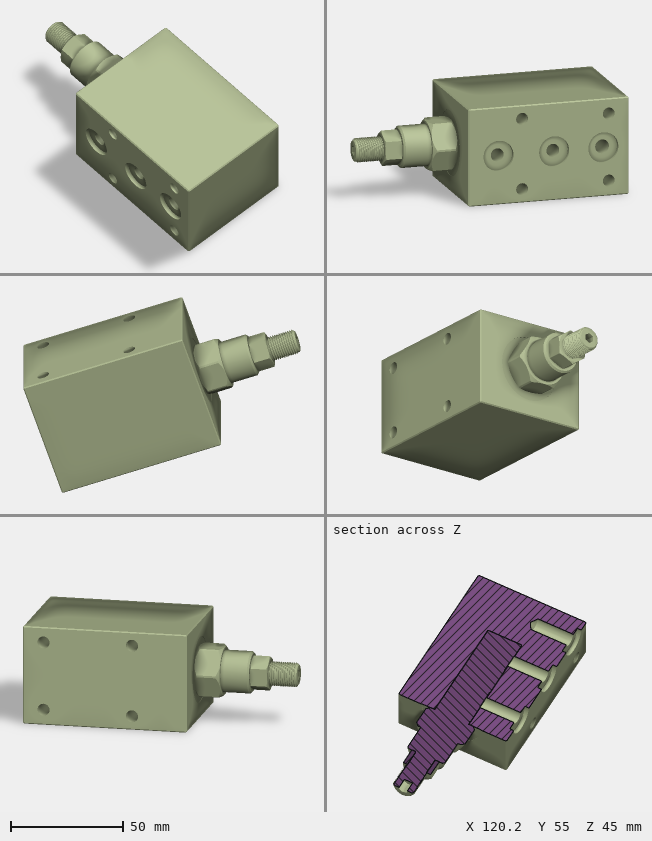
import cadquery as cq
import math


block_length = 75.0
block_height = 45.0
block_front = -28.0
block_back = 27.0
block_chamfer = 0.5
block_depth = block_back - block_front

spot_diameter = 30.0
spot_depth = 0.2

cavity_port_xs = [14.0, 40.0]
cavity_port_diameter = 6.0
drilled_port_x = 63.0
drilled_port_diameter = 6.4
drilled_port_depth = 20.0
drill_point_angle = 118.0
recess_diameter = 14.0
recess_depth = 2.0

mount_diameter = 5.5
mount_pairs = [(25.0, 16.25), (65.5, 15.5)]

nose_diameter = 17.0
nose_length = 50.0
hex_flats = 22.0
hex_corner_diameter = 24.9
hex_outer_chamfer = 1.5
hex_inner_chamfer = 1.3
hex_outer_x = -11.4
collar_diameter = 19.0
collar_chamfer = 0.8
collar_outer_x = -24.3
stem_end_x = -45.2
stem_core_diameter = 10.0
stem_chamfer = 0.5
thread_diameter = 11.0
thread_pitch = 1.0
thread_crest_width = 0.125
thread_root_width = 0.8
thread_lead_in = 0.8
thread_start_x = stem_end_x + thread_lead_in
thread_overlap = 0.1
socket_flats = 4.0
socket_depth = 5.0

nut_flats = 14.0
nut_length = 8.0
nut_turn = 4.0
nut_outer_x = collar_outer_x - nut_length
nut_corner_diameter = nut_flats / math.cos(math.pi / 6)
nut_chamfer_length = 0.4


def x_cylinder(diameter, x_start, x_end):
    """Cylinder along the X axis between two stations."""
    return cq.Workplane("YZ", origin=(x_start, 0, 0)).circle(diameter / 2).extrude(x_end - x_start)


def x_hexagon(flats, x_start, x_end):
    """Hexagonal bar along the X axis, with corners toward +Y and -Y."""
    corner_circle = flats / math.cos(math.pi / 6)
    return cq.Workplane("YZ", origin=(x_start, 0, 0)).polygon(6, corner_circle).extrude(x_end - x_start)


def y_hole(x, z, diameter, depth):
    """Cylinder going into the block from the front face."""
    front_plane = cq.Workplane("XZ", origin=(x, block_front, z))
    return front_plane.circle(diameter / 2).extrude(-depth)


def drill(x, diameter, depth):
    """Hole with a conical drill point, going in from the front face."""
    radius = diameter / 2
    point_length = radius / math.tan(math.radians(drill_point_angle / 2))
    half_section = [
        (x, block_front),
        (x + radius, block_front),
        (x + radius, block_front + depth),
        (x, block_front + depth + point_length),
    ]
    return cq.Workplane("XY").polyline(half_section).close().revolve(360, (x, 0, 0), (x, 1, 0))


def make_block():
    block = (
        cq.Workplane("XY")
        .box(block_length, block_depth, block_height, centered=(False, False, True))
        .translate((0, block_front, 0))
        .edges()
        .chamfer(block_chamfer)
    )
    for x in cavity_port_xs:
        block = block.cut(y_hole(x, 0, cavity_port_diameter, -block_front))
    block = block.cut(drill(drilled_port_x, drilled_port_diameter, drilled_port_depth))
    for x in cavity_port_xs + [drilled_port_x]:
        block = block.cut(y_hole(x, 0, recess_diameter, recess_depth))
    for x, height in mount_pairs:
        for z in (height, -height):
            block = block.cut(y_hole(x, z, mount_diameter, block_depth))
    block = block.cut(x_cylinder(spot_diameter, 0, spot_depth))
    return block.cut(x_cylinder(nose_diameter, 0, nose_length))


def make_thread_ridge():
    """Right-handed helical ridge around the stem, trimmed at the nut face."""
    root_radius = stem_core_diameter / 2 - thread_overlap
    length = nut_outer_x + thread_pitch - thread_start_x
    helix = cq.Wire.makeHelix(thread_pitch, length, root_radius)
    ridge = (
        cq.Workplane("XZ")
        .moveTo(root_radius, -thread_root_width / 2)
        .lineTo(thread_diameter / 2, -thread_crest_width / 2)
        .lineTo(thread_diameter / 2, thread_crest_width / 2)
        .lineTo(root_radius, thread_root_width / 2)
        .close()
        .sweep(cq.Workplane(helix), isFrenet=True)
        .rotate((0, 0, 0), (0, 1, 0), 90)
        .translate((thread_start_x, 0, 0))
    )
    nut_zone = x_cylinder(2 * thread_diameter, nut_outer_x, collar_outer_x)
    return ridge.cut(nut_zone)


def make_cartridge():
    hex_envelope = (
        x_cylinder(hex_corner_diameter, hex_outer_x, spot_depth)
        .faces("<X")
        .chamfer(hex_outer_chamfer)
        .faces(">X")
        .chamfer(hex_inner_chamfer)
    )
    hexagon = x_hexagon(hex_flats, hex_outer_x, spot_depth).intersect(hex_envelope)
    collar = x_cylinder(collar_diameter, collar_outer_x, hex_outer_x).faces("<X").chamfer(collar_chamfer)
    stem = x_cylinder(stem_core_diameter, stem_end_x, collar_outer_x).faces("<X").chamfer(stem_chamfer)
    nose = x_cylinder(nose_diameter, spot_depth, nose_length)
    socket = x_hexagon(socket_flats, stem_end_x, stem_end_x + socket_depth)
    socket = socket.rotate((0, 0, 0), (1, 0, 0), 90)
    stem = stem.union(make_thread_ridge()).cut(socket)
    return hexagon.union(collar).union(nose).union(stem)


def make_lock_nut():
    nut = x_hexagon(nut_flats, nut_outer_x, collar_outer_x).rotate((0, 0, 0), (1, 0, 0), 90 - nut_turn)
    chamfer_width = (nut_corner_diameter - nut_flats) / 2
    envelope = x_cylinder(nut_corner_diameter, nut_outer_x, collar_outer_x)
    envelope = envelope.faces("<X or >X").chamfer(nut_chamfer_length, chamfer_width)
    return nut.intersect(envelope).cut(x_cylinder(stem_core_diameter, nut_outer_x, collar_outer_x))


block = make_block()
cartridge = make_cartridge()
lock_nut = make_lock_nut()

result = cq.Compound.makeCompound([body.solids().val() for body in (block, cartridge, lock_nut)])